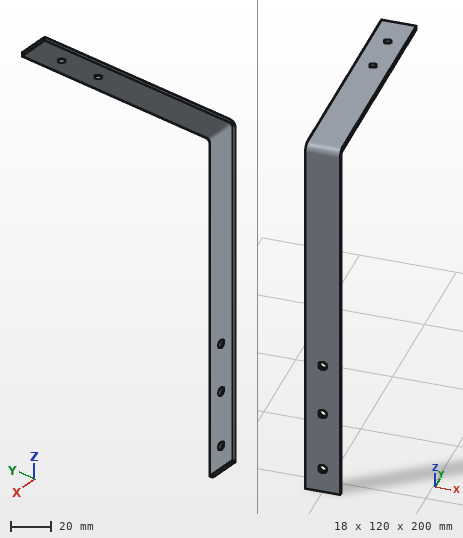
import cadquery as cq

width = 18.0
depth = 120.0
height = 200.0
thickness = 2.0
outer_bend_radius = 4.0
inner_bend_radius = outer_bend_radius - thickness

wall_hole_diameter = 4.5
wall_hole_heights = [13.2, 45.2, 73.2]
shelf_hole_diameter = 3.5
shelf_hole_setbacks = [17.8, 40.8]


def bent_strip():
    """L-shaped strip: upright leg at Y = 0, horizontal leg along +Y at the top."""
    profile = (
        cq.Workplane("YZ")
        .polyline([
            (0, 0),
            (thickness, 0),
            (thickness, height - thickness),
            (depth, height - thickness),
            (depth, height),
            (0, height),
        ])
        .close()
    )
    strip = profile.extrude(width / 2, both=True)
    strip = strip.edges("|X and <Y and >Z").fillet(outer_bend_radius)
    inner_corner = cq.selectors.NearestToPointSelector((0, thickness, height - thickness))
    return strip.edges("|X").edges(inner_corner).fillet(inner_bend_radius)


def wall_holes():
    """Cutters through the upright leg, along Y."""
    centres = [(0, z) for z in wall_hole_heights]
    return (
        cq.Workplane("XZ")
        .pushPoints(centres)
        .circle(wall_hole_diameter / 2)
        .extrude(-thickness)
    )


def shelf_holes():
    """Cutters through the horizontal leg, along Z."""
    centres = [(0, depth - setback) for setback in shelf_hole_setbacks]
    return (
        cq.Workplane("XY", origin=(0, 0, height - thickness))
        .pushPoints(centres)
        .circle(shelf_hole_diameter / 2)
        .extrude(thickness)
    )


result = bent_strip().cut(wall_holes()).cut(shelf_holes())